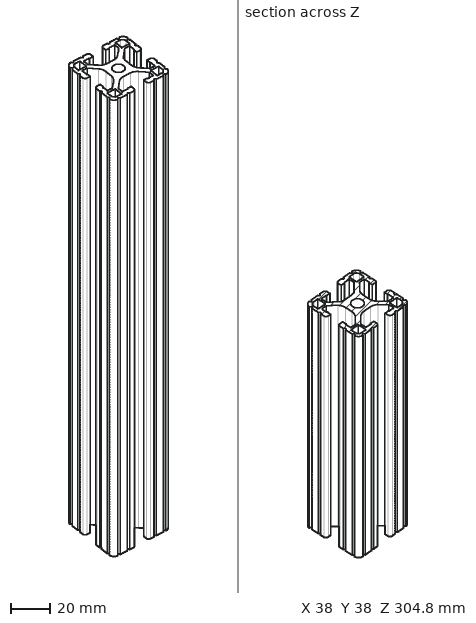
import cadquery as cq
import math

side = 38.0
sides = 4
length = 304.8
half_side = side / 2

slot_opening = 8.2
lip_thickness = 3.7
lip_hook_width = 2.5
lip_relief = 0.3
lip_edge_radius = 1.5
hub_fillet = 5.5

hub_side = 13.5
web_thickness = 3.0
bore_diameter = 6.7
corner_box = 8.8
cavity_side = 5.2
cavity_wall = 2.0
cavity_radius = 2.0

groove_width = 1.5
inner_groove_offset = 8.8
outer_groove_inset = 4.0
groove_offsets = (inner_groove_offset, half_side - outer_groove_inset)
groove_depth = 0.75

corner_radius = outer_groove_inset - groove_width / 2


def rotate_quarter(shape, quarter):
    """Turn a shape about the long axis by a number of quarter turns."""
    return shape.rotate((0, 0, 0), (0, 0, 1), 360 / sides * quarter)


def slot_cutter():
    """T-slot open toward +Y, from its mouth down to the hub face."""
    mouth = slot_opening / 2
    hub = hub_side / 2
    lip_inner = half_side - lip_thickness
    relief = lip_inner + lip_relief
    hook = mouth + lip_hook_width
    web_shift = web_thickness / math.sqrt(2)
    floor_half = hub - web_shift
    wall = half_side - corner_box
    right = [
        (floor_half, hub),
        (wall, wall + web_shift),
        (wall, relief),
        (hook, relief),
        (hook, lip_inner),
        (mouth, lip_inner),
        (mouth, half_side),
    ]
    left = [(-x, y) for x, y in reversed(right)]
    profile = cq.Workplane("XY").polyline(right + left).close().extrude(length)
    return profile.edges("|Z and <Y").fillet(hub_fillet)


def lip_edge_cutter(mirrored):
    """Waste outside the rounded outer edge of one lip on the +Y face."""
    mouth = slot_opening / 2
    sign = -1 if mirrored else 1
    arc_x = mouth + lip_edge_radius
    arc_y = half_side - lip_edge_radius
    reach = lip_edge_radius * math.sqrt(0.5)
    return (
        cq.Workplane("XY")
        .moveTo(sign * mouth, half_side)
        .lineTo(sign * mouth, arc_y)
        .threePointArc((sign * (arc_x - reach), arc_y + reach), (sign * arc_x, half_side))
        .close()
        .extrude(length)
    )


def groove_cutter(offset):
    """Shallow round-bottomed groove in the +Y face."""
    half_width = groove_width / 2
    return (
        cq.Workplane("XY")
        .moveTo(offset - half_width, half_side)
        .threePointArc((offset, half_side - groove_depth), (offset + half_width, half_side))
        .close()
        .extrude(length)
    )


def corner_cavity():
    """Square cavity in the +X +Y corner, rounded on its outer edge."""
    start = half_side - cavity_wall - cavity_side
    return (
        cq.Workplane("XY")
        .rect(cavity_side, cavity_side)
        .extrude(length)
        .edges("|Z and >X and >Y")
        .fillet(cavity_radius)
        .translate((start + cavity_side / 2, start + cavity_side / 2, 0))
    )


bar = cq.Workplane("XY").rect(side, side).extrude(length).edges("|Z").fillet(corner_radius)
bar = bar.cut(cq.Workplane("XY").circle(bore_diameter / 2).extrude(length))
for quarter in range(sides):
    bar = bar.cut(rotate_quarter(slot_cutter(), quarter))
    bar = bar.cut(rotate_quarter(corner_cavity(), quarter))
    for mirrored in (False, True):
        bar = bar.cut(rotate_quarter(lip_edge_cutter(mirrored), quarter))
    for offset in groove_offsets:
        bar = bar.cut(rotate_quarter(groove_cutter(offset), quarter))
        bar = bar.cut(rotate_quarter(groove_cutter(-offset), quarter))

result = bar